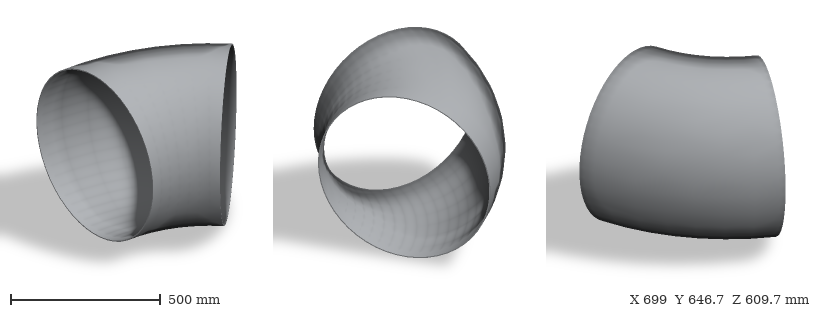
import cadquery as cq
import math

overall_length = 699.0
bend_angle = 45.0
wall = 4.0
bend_ratio = 2.0

x_extent_in_radii = (bend_ratio + 1) - (bend_ratio - 1) * math.cos(math.radians(bend_angle))
outer_radius = overall_length / x_extent_in_radii
inner_radius = outer_radius - wall
bend_radius = bend_ratio * outer_radius

ring = cq.Workplane("XZ").circle(outer_radius).circle(inner_radius)
result = ring.revolve(bend_angle, (bend_radius, 7, 0), (bend_radius, 0, 0))